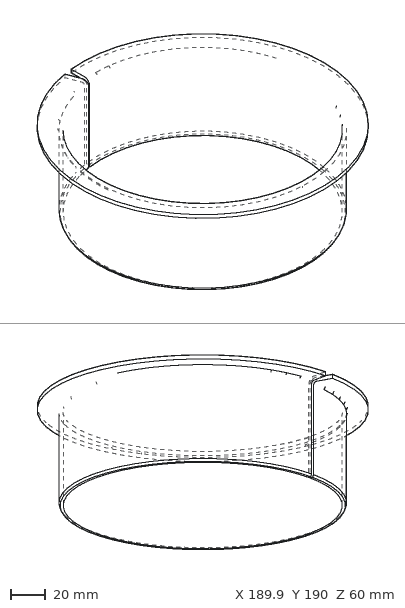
import cadquery as cq
import math

bore_radius = 80.0
wall = 2.5
flange_radius = 95.0
height = 60.0
outer_bend_radius = 2.0
lead_in_height = 1.5
lead_in_angle = 25.0
split_gap = 0.9
split_half_angle = 10.0

sleeve_radius = bore_radius + wall
bend_center_radius = sleeve_radius + outer_bend_radius
inner_bend_radius = outer_bend_radius + wall
bend_center_z = height - inner_bend_radius
lead_in_width = lead_in_height * math.tan(math.radians(lead_in_angle))


def bend_point(radius):
    """Middle of the quarter-circle bend of the given radius, as (radius, height)."""
    offset = radius * math.sqrt(0.5)
    return (bend_center_radius - offset, bend_center_z + offset)


def make_ring():
    """Full ring: sleeve, bend and flange of constant wall, revolved about Z."""
    ring = (
        cq.Workplane("XZ")
        .moveTo(bore_radius, 0)
        .lineTo(sleeve_radius - lead_in_width, 0)
        .lineTo(sleeve_radius, lead_in_height)
        .lineTo(sleeve_radius, bend_center_z)
        .threePointArc(bend_point(outer_bend_radius), (bend_center_radius, height - wall))
        .lineTo(flange_radius, height - wall)
        .lineTo(flange_radius, height)
        .lineTo(bend_center_radius, height)
        .threePointArc(bend_point(inner_bend_radius), (bore_radius, bend_center_z))
        .close()
        .revolve(360, (0, 0, 0), (0, 1, 0))
    )
    return ring.rotate((0, 0, 0), (0, 0, 1), 180)


def make_split():
    """Full-height wedge that flares from the bore out past the flange rim."""
    flare = math.tan(math.radians(split_half_angle))
    tip_x = split_gap / 2 / flare - bore_radius
    end_x = -flange_radius - wall
    end_y = (tip_x - end_x) * flare
    return (
        cq.Workplane("XY")
        .polyline([(tip_x, 0), (end_x, end_y), (end_x, -end_y)])
        .close()
        .extrude(height)
    )


result = make_ring().cut(make_split())